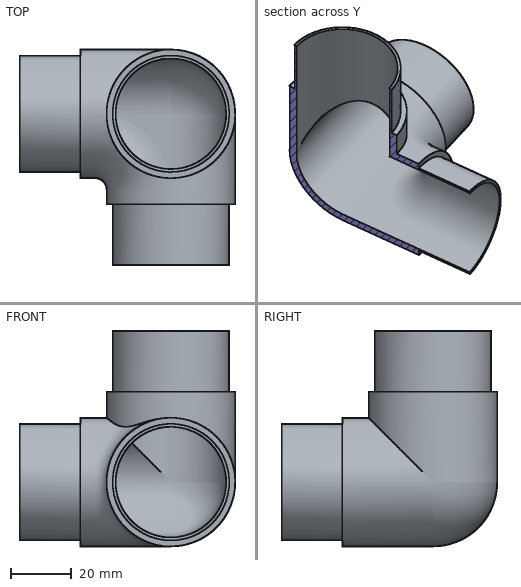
import cadquery as cq

overall_size = 71.0
body_diameter = 42.4
spigot_diameter = 38.4
bore_diameter = 36.4
spigot_length = 20.0
bend_radius = 25.0

arm_length = overall_size - body_diameter / 2
body_length = arm_length - spigot_length

X_ARM = cq.Vector(-1, 0, 0)
Y_ARM = cq.Vector(0, -1, 0)
Z_ARM = cq.Vector(0, 0, 1)


def round_bar(diameter, start, end, direction):
    """Cylinder along an arm axis between two distances from the corner."""
    bar = cq.Solid.makeCylinder(diameter / 2, end - start, direction * start, direction)
    return cq.Workplane(obj=bar)


def inside_bend(diameter):
    """Block between the -X and -Y arms whose open side is a round quarter bend.

    Its flat top and bottom run smoothly into the crests of both arms.
    """
    radius = diameter / 2
    corner_reach = 2 * bend_radius
    ring = (
        cq.Workplane("XZ", origin=(-bend_radius, -bend_radius, 0))
        .moveTo(corner_reach, -radius)
        .lineTo(bend_radius, -radius)
        .threePointArc((bend_radius - radius, 0), (bend_radius, radius))
        .lineTo(corner_reach, radius)
        .close()
        .revolve(90, (0, 0), (0, 1))
    )
    corner_block = cq.Workplane("XY").box(bend_radius, bend_radius, diameter)
    return ring.intersect(corner_block.translate((-bend_radius / 2, -bend_radius / 2, 0)))


def connector(diameter, length):
    """Solid three-way corner: rounded outer corner, blended inner corner and three arms."""
    shape = cq.Workplane("XY").sphere(diameter / 2)
    for direction in (X_ARM, Y_ARM):
        shape = shape.union(round_bar(diameter, 0, length, direction))
    shape = shape.union(inside_bend(diameter))
    return shape.union(round_bar(diameter, 0, length, Z_ARM))


def add_spigots(shape):
    """Add the reduced ends that plug into the tubes."""
    for direction in (X_ARM, Y_ARM, Z_ARM):
        shape = shape.union(round_bar(spigot_diameter, body_length, arm_length, direction))
    return shape


outside = add_spigots(connector(body_diameter, body_length))
bore = connector(bore_diameter, arm_length)
result = outside.cut(bore)